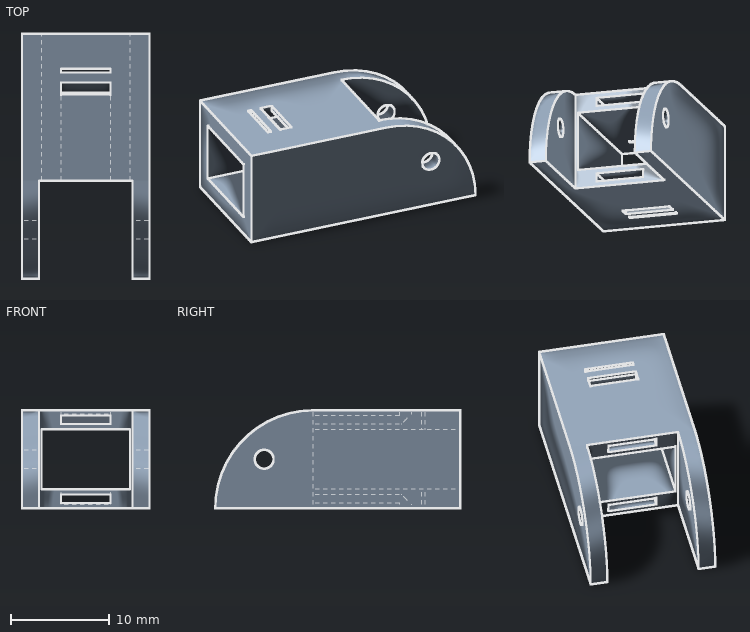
import cadquery as cq

width = 13
length = 25
height = 10
arm_thickness = 1.75
arm_length = 10
arm_gap = width - 2 * arm_thickness

passage_width = 9
passage_height = 6.1

pivot_diameter = 1.9
pivot_y = 5
pivot_z = height / 2

strap_width = 5
channel_roof_depth = 0.55
channel_floor_depth = 1.4
mouth_start_y = 18.78
mouth_end_y = 20
ramp_rise = 1

rear_slot_start_y = 21.05
rear_slot_end_y = 21.4


def centered_box(size_x, start_y, end_y, start_z, end_z):
    """Box centred on X and spanning the given Y and Z ranges."""
    box = cq.Workplane("XY").box(size_x, end_y - start_y, end_z - start_z, centered=(True, False, False))
    return box.translate((0, start_y, start_z))


def body():
    """Side profile with a quarter-round nose, extruded across X."""
    profile = (
        cq.Workplane("YZ")
        .lineTo(length, 0)
        .lineTo(length, height)
        .lineTo(arm_length, height)
        .radiusArc((0, 0), -arm_length)
        .close()
    )
    return profile.extrude(width / 2, both=True)


def pivot_holes():
    center = cq.Workplane("YZ").center(pivot_y, pivot_z)
    return center.circle(pivot_diameter / 2).extrude(width / 2, both=True)


def top_strap_channel():
    """Channel running back from the front wall, then up a ramp to the top face."""
    floor_z = height - channel_floor_depth
    roof_z = height - channel_roof_depth
    outline = [
        (arm_length, floor_z),
        (mouth_end_y - ramp_rise, floor_z),
        (mouth_end_y, floor_z + ramp_rise),
        (mouth_end_y, height),
        (mouth_start_y, height),
        (mouth_start_y, roof_z),
        (arm_length, roof_z),
    ]
    return cq.Workplane("YZ").polyline(outline).close().extrude(strap_width / 2, both=True)


passage_floor = (height - passage_height) / 2
top_channel = top_strap_channel()
bottom_channel = top_channel.mirror("XY", (0, 0, height / 2))

result = (
    body()
    .cut(centered_box(arm_gap, 0, arm_length, 0, height))
    .cut(centered_box(passage_width, arm_length, length, passage_floor, passage_floor + passage_height))
    .cut(pivot_holes())
    .cut(top_channel)
    .cut(bottom_channel)
    .cut(centered_box(strap_width, rear_slot_start_y, rear_slot_end_y, 0, height))
)